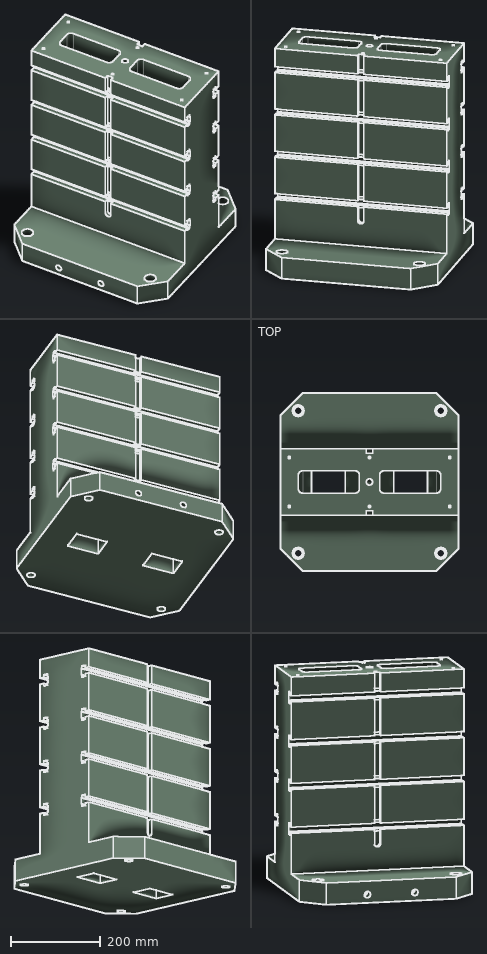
import cadquery as cq
import math

BASE_SIDE = 400.0
BASE_THICKNESS = 50.0
BASE_CHAMFER = 50.0

TOTAL_HEIGHT = 500.0
COLUMN_THICKNESS = 150.0
FACE_Y = COLUMN_THICKNESS / 2

MOUNT_SPACING = 320.0
MOUNT_DIAMETER = 18.0
MOUNT_BORE_DIAMETER = 26.0
MOUNT_BORE_DEPTH = 20.0

SLOT_WIDTH = 14.0
SLOT_PITCH = 100.0
SLOT_COUNT = 4
TOP_SLOT_Z = TOTAL_HEIGHT - SLOT_PITCH / 2
T_HEAD_WIDTH = 26.0
T_NECK_DEPTH = 12.0
T_HEAD_DEPTH = 22.0
T_RELIEF_DEPTH = 24.0

KEYWAY_DEPTH = 10.0
KEYWAY_END_Z = 110.0

CORE_INNER_X = 22.5
CORE_OUTER_X = 160.0
CORE_WIDTH = 50.0
CORE_CORNER_RADIUS = 10.0
CORE_FLOOR_Z = BASE_THICKNESS
CORE_FLOOR_RADIUS = 10.0
WINDOW_INNER_X = 55.0
WINDOW_OUTER_X = 130.0

DRILL_DIAMETER = 14.0
DRILL_DEPTH = 30.0
DRILL_POINT_ANGLE = 118.0
SIDE_DRILL_SPACING = 110.0
SIDE_DRILL_Z = 19.0
PIN_DIAMETER = 5.0
PIN_DEPTH = 15.0
PIN_PITCH_X = 180.0
PIN_SPACING_Y = 110.0


def box(x_min, x_max, y_min, y_max, z_min, z_max):
    """Block between the given limits on each axis."""
    corner = cq.Workplane("XY", origin=(x_min, y_min, z_min))
    return corner.box(x_max - x_min, y_max - y_min, z_max - z_min, centered=False)


def make_body():
    """Square base plate with cut corners, and the column standing across it."""
    base = (
        cq.Workplane("XY")
        .rect(BASE_SIDE, BASE_SIDE)
        .extrude(BASE_THICKNESS)
        .edges("|Z")
        .chamfer(BASE_CHAMFER)
    )
    column = cq.Workplane("XY").rect(BASE_SIDE, COLUMN_THICKNESS).extrude(TOTAL_HEIGHT)
    return base.union(column)


def make_t_slot(z):
    """T-slot along X in the -Y face, centred at height z."""
    half = BASE_SIDE / 2

    def bar(depth_start, depth_end, width):
        return box(-half, half, depth_start - FACE_Y, depth_end - FACE_Y, z - width / 2, z + width / 2)

    neck = bar(0, T_RELIEF_DEPTH, SLOT_WIDTH)
    head = bar(T_NECK_DEPTH, T_HEAD_DEPTH, T_HEAD_WIDTH)
    return neck.union(head)


def make_keyway():
    """Vertical keyway in the -Y face with a round lower end, open at the top."""
    radius = SLOT_WIDTH / 2
    return (
        cq.Workplane("XZ", origin=(0, KEYWAY_DEPTH - FACE_Y, 0))
        .moveTo(-radius, TOTAL_HEIGHT)
        .lineTo(-radius, KEYWAY_END_Z)
        .threePointArc((0, KEYWAY_END_Z - radius), (radius, KEYWAY_END_Z))
        .lineTo(radius, TOTAL_HEIGHT)
        .close()
        .extrude(KEYWAY_DEPTH)
    )


def make_core():
    """Core on the +X side: a pocket from the top and a narrower window through its floor."""
    half = CORE_WIDTH / 2
    pocket = box(CORE_INNER_X, CORE_OUTER_X, -half, half, CORE_FLOOR_Z, TOTAL_HEIGHT)
    upright_corners = pocket.edges("|Z").fillet(CORE_CORNER_RADIUS)
    rounded_floor = pocket.edges("<Z and >X").fillet(CORE_FLOOR_RADIUS)
    window = box(WINDOW_INNER_X, WINDOW_OUTER_X, -half, half, 0, CORE_FLOOR_Z)
    return upright_corners.intersect(rounded_floor).union(window)


def make_drill(start, direction):
    """Blind hole with a conical drill point."""
    radius = DRILL_DIAMETER / 2
    point_length = radius / math.tan(math.radians(DRILL_POINT_ANGLE / 2))
    axis = cq.Vector(*direction)
    origin = cq.Vector(*start)
    cylinder = cq.Solid.makeCylinder(radius, DRILL_DEPTH, origin, axis)
    point = cq.Solid.makeCone(radius, 0, point_length, origin + axis * DRILL_DEPTH, axis)
    return cq.Workplane(cylinder).union(cq.Workplane(point))


def make_pin_holes():
    return (
        cq.Workplane("XY", origin=(0, 0, TOTAL_HEIGHT))
        .rarray(PIN_PITCH_X, PIN_SPACING_Y, 3, 2)
        .circle(PIN_DIAMETER / 2)
        .extrude(-PIN_DEPTH)
    )


def make_mounting_holes():
    """Through holes in the base with a counterbore from above."""
    pattern = cq.Workplane("XY", origin=(0, 0, BASE_THICKNESS)).rarray(MOUNT_SPACING, MOUNT_SPACING, 2, 2)
    shanks = pattern.circle(MOUNT_DIAMETER / 2).extrude(-BASE_THICKNESS)
    counterbores = pattern.circle(MOUNT_BORE_DIAMETER / 2).extrude(-MOUNT_BORE_DEPTH)
    return shanks.union(counterbores)


result = make_body()

for slot in range(SLOT_COUNT):
    t_slot = make_t_slot(TOP_SLOT_Z - slot * SLOT_PITCH)
    result = result.cut(t_slot).cut(t_slot.mirror("XZ"))

keyway = make_keyway()
result = result.cut(keyway).cut(keyway.mirror("XZ"))

core = make_core()
result = result.cut(core).cut(core.mirror("YZ"))

result = result.cut(make_drill((0, 0, TOTAL_HEIGHT), (0, 0, -1)))
for side in (-1, 1):
    hole_start = (side * SIDE_DRILL_SPACING / 2, -BASE_SIDE / 2, SIDE_DRILL_Z)
    result = result.cut(make_drill(hole_start, (0, 1, 0)))

result = result.cut(make_pin_holes()).cut(make_mounting_holes())